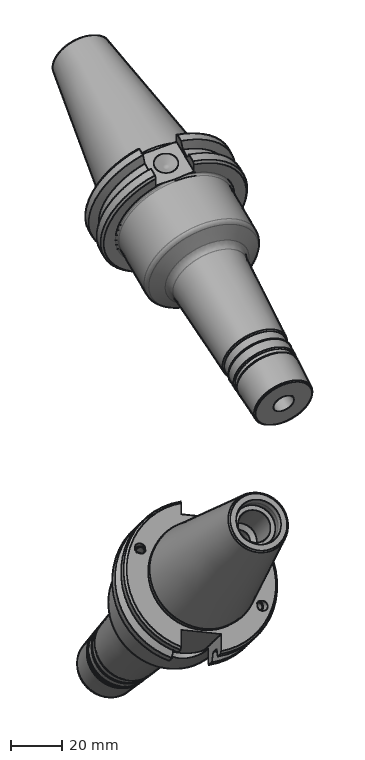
import cadquery as cq
import math

total_length = 188.2

taper_ratio = 7 / 24
gauge_x = 68.3
gauge_diameter = 44.5
small_diameter = gauge_diameter - gauge_x * taper_ratio
shank_chamfer = 0.5
relief_x = 69.8
relief_diameter = 43.7

flange_x = 71.3
flange_end_x = 87.5
flange_diameter = 63.3
flange_chamfer = 1.0
groove_x = 79.3
groove_floor_width = 4.0
groove_mouth_width = 7.3
groove_diameter = 56.3

body_diameter = 49.5
body_fillet = 1.0
body_end_x = 113.1
shoulder_angle = 30.0
shoulder_fillet = 2.3
nose_root_fillet = 3.8

nose_root_diameter = 32.5
nose_half_angle = 3.0
nose_chamfer = 0.47
nose_root_x = body_end_x + (body_diameter - nose_root_diameter) / 2 * math.tan(math.radians(shoulder_angle))
groove_wall = 0.5
first_ring_x = 161.5
ridge_x = 166.5
second_ring_end_x = 170.7
last_ring_end_x = 173.5
first_ring_diameter = 27.0
second_ring_diameter = 27.1
last_ring_diameter = 26.2

through_diameter = 8.8
thread_diameter = 13.4
thread_end_x = 22.5
mouth_diameter = 17.3
mouth_depth = 5.5
mouth_lead_in = 0.5
mouth_lead_in_depth = 2.3
drill_half_angle = 59.0

slot_width = 16.4
top_floor_z = 25.0
bottom_floor_z = 22.5
bottom_slot_straight_end_x = 90.4
dimple_diameter = 9.6
dimple_half_angle = 59.0

coolant_angle = 20.0
coolant_radius = 26.7
coolant_tilt = 20.0
pilot_diameter = 3.2
inclined_mouth_diameter = 4.1
inclined_mouth_depth = 2.3
inclined_hole_depth = 14.1
radial_mouth_diameter = 4.0
radial_mouth_depth = 1.9
meeting_radius = coolant_radius - (groove_x - flange_x) * math.tan(math.radians(coolant_tilt))


def nose_radius(x):
    return nose_root_diameter / 2 - (x - nose_root_x) * math.tan(math.radians(nose_half_angle))


def circle_edge(x, diameter):
    """Selects the round edge of this diameter centred at x on the axis."""
    near = 0.04
    reach = diameter / 2 + near
    return cq.selectors.BoxSelector((x - near, -reach, -reach), (x + near, reach, reach), boundingbox=True)


def turned_body():
    flange_radius = flange_diameter / 2
    body_radius = body_diameter / 2
    outline = [
        (0, 0),
        (0, small_diameter / 2 - shank_chamfer),
        (shank_chamfer, (small_diameter + shank_chamfer * taper_ratio) / 2),
        (gauge_x, gauge_diameter / 2),
        (relief_x, relief_diameter / 2),
        (flange_x, relief_diameter / 2),
        (flange_x, flange_radius - flange_chamfer),
        (flange_x + flange_chamfer, flange_radius),
        (groove_x - groove_mouth_width / 2, flange_radius),
        (groove_x - groove_floor_width / 2, groove_diameter / 2),
        (groove_x + groove_floor_width / 2, groove_diameter / 2),
        (groove_x + groove_mouth_width / 2, flange_radius),
        (flange_end_x - flange_chamfer, flange_radius),
        (flange_end_x, flange_radius - flange_chamfer),
        (flange_end_x, body_radius),
        (body_end_x, body_radius),
        (nose_root_x, nose_root_diameter / 2),
        (first_ring_x, nose_radius(first_ring_x)),
        (first_ring_x + groove_wall, first_ring_diameter / 2),
        (ridge_x - groove_wall, first_ring_diameter / 2),
        (ridge_x, nose_radius(ridge_x)),
        (ridge_x, second_ring_diameter / 2),
        (second_ring_end_x, second_ring_diameter / 2),
        (second_ring_end_x + groove_wall, last_ring_diameter / 2),
        (last_ring_end_x - groove_wall, last_ring_diameter / 2),
        (last_ring_end_x, nose_radius(last_ring_end_x)),
        (total_length - nose_chamfer, nose_radius(total_length - nose_chamfer)),
        (total_length, nose_radius(total_length) - nose_chamfer),
        (total_length, 0),
    ]
    body = cq.Workplane("XY").polyline(outline).close().revolve(360, (0, 0, 0), (1, 0, 0))
    body = body.edges(circle_edge(flange_end_x, body_diameter)).fillet(body_fillet)
    body = body.edges(circle_edge(body_end_x, body_diameter)).fillet(shoulder_fillet)
    return body.edges(circle_edge(nose_root_x, nose_root_diameter)).fillet(nose_root_fillet)


def bore():
    step = (thread_diameter - through_diameter) / 2
    outline = [
        (0, 0),
        (0, mouth_diameter / 2 + mouth_lead_in),
        (mouth_lead_in_depth, mouth_diameter / 2),
        (mouth_depth, mouth_diameter / 2),
        (mouth_depth, thread_diameter / 2),
        (thread_end_x, thread_diameter / 2),
        (thread_end_x + step / math.tan(math.radians(drill_half_angle)), through_diameter / 2),
        (total_length, through_diameter / 2),
        (total_length, 0),
    ]
    return cq.Workplane("XY").polyline(outline).close().revolve(360, (0, 0, 0), (1, 0, 0))


def top_slot():
    length = flange_end_x + body_fillet - flange_x
    return cq.Workplane("XY", origin=(flange_x, 0, top_floor_z)).box(
        length, slot_width, flange_diameter, centered=(False, True, False)
    )


def bottom_slot():
    """Slot with a half-round end running out into the body."""
    half = slot_width / 2
    return (
        cq.Workplane("XY", origin=(0, 0, -bottom_floor_z))
        .moveTo(flange_x, -half)
        .lineTo(bottom_slot_straight_end_x, -half)
        .threePointArc((bottom_slot_straight_end_x + half, 0), (bottom_slot_straight_end_x, half))
        .lineTo(flange_x, half)
        .close()
        .extrude(-flange_diameter)
    )


def dimple():
    radius = dimple_diameter / 2
    depth = radius / math.tan(math.radians(dimple_half_angle))
    return cq.Workplane(cq.Solid.makeCone(
        radius, 0, depth, cq.Vector(groove_x, 0, top_floor_z), cq.Vector(0, 0, -1)
    ))


def rod(start, end, diameter):
    return cq.Solid.makeCylinder(diameter / 2, (end - start).Length, start, end - start)


def coolant_holes(angle):
    """Inclined and radial pilot holes that meet, each with a wider mouth."""
    outward = cq.Vector(0, math.cos(math.radians(angle)), math.sin(math.radians(angle)))
    along = cq.Vector(1, 0, 0)
    meeting = along * groove_x + outward * meeting_radius
    face_centre = along * flange_x + outward * coolant_radius
    inward = (meeting - face_centre).normalized()
    face_start = face_centre - inward * inclined_mouth_diameter
    groove_start = along * groove_x + outward * (flange_diameter / 2)
    groove_step = along * groove_x + outward * (groove_diameter / 2 - radial_mouth_depth)

    holes = rod(face_start, face_centre + inward * inclined_hole_depth, pilot_diameter).fuse(
        rod(face_start, face_centre + inward * inclined_mouth_depth, inclined_mouth_diameter),
        rod(groove_start, meeting, pilot_diameter),
        rod(groove_start, groove_step, radial_mouth_diameter),
    )
    return cq.Workplane(holes)


result = turned_body().cut(bore()).cut(top_slot()).cut(bottom_slot()).cut(dimple())
for side_angle in (coolant_angle, coolant_angle + 180):
    result = result.cut(coolant_holes(side_angle))